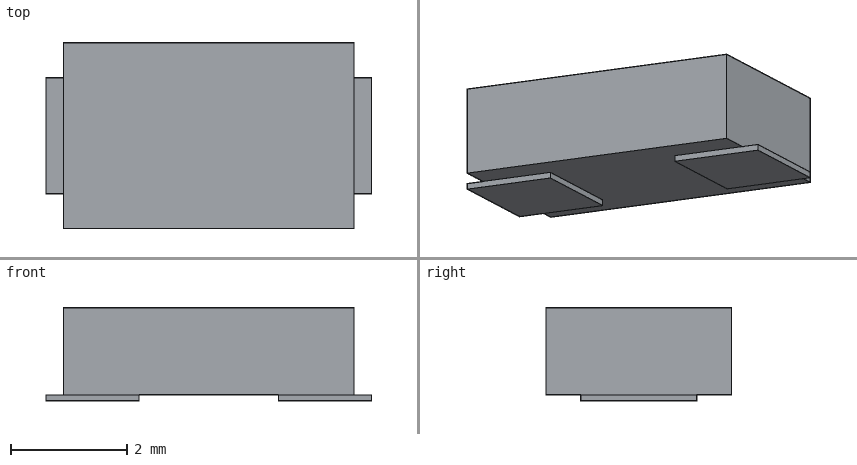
import cadquery as cq

overall_length = 5.6
overall_height = 1.6

body_length = 5.0
body_width = 3.2

terminal_length = 1.6
terminal_width = 2.0
terminal_thickness = 0.1

body_height = overall_height - terminal_thickness
terminal_center_x = (overall_length - terminal_length) / 2


def make_body():
    """Plain block resting on the top faces of the terminals."""
    return (
        cq.Workplane("XY")
        .workplane(offset=terminal_thickness)
        .box(body_length, body_width, body_height, centered=(True, True, False))
    )


def make_terminal(side):
    """Flat plate at the -X end (side = -1) or the +X end (side = 1)."""
    return (
        cq.Workplane("XY")
        .center(side * terminal_center_x, 0)
        .box(terminal_length, terminal_width, terminal_thickness, centered=(True, True, False))
    )


body = make_body()
terminals = [make_terminal(side) for side in (-1, 1)]

result = cq.Compound.makeCompound([body.val(), *[terminal.val() for terminal in terminals]])